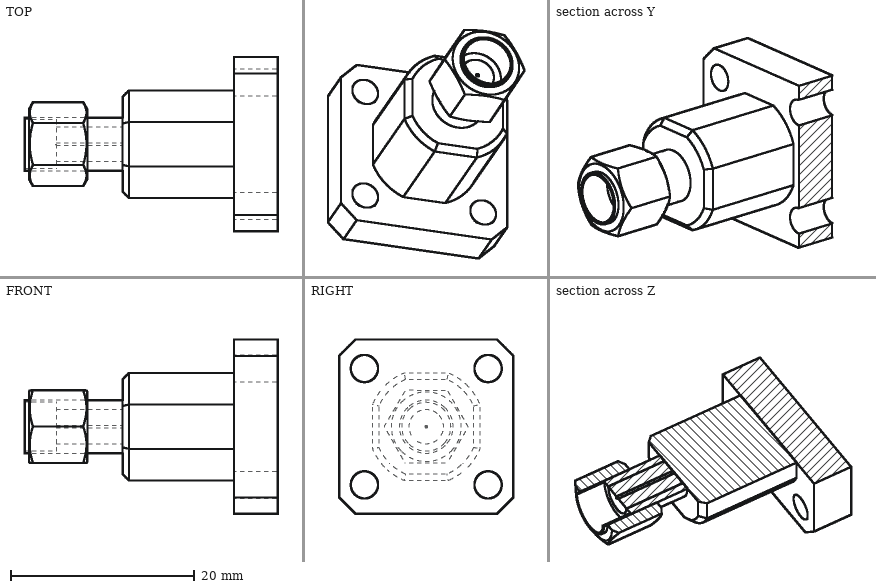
import cadquery as cq
import math


total_length = 27.66
flange_thickness = 4.8
flange_width = 19.05
flange_corner_chamfer = 1.8
screw_hole_diameter = 2.95
screw_hole_spacing_y = 13.5
screw_hole_spacing_z = 12.7
flange_start = total_length - flange_thickness

barrel_start = 10.7
barrel_diameter = 12.7
barrel_across_flats = 11.75
barrel_chamfer = 0.7
barrel_length = flange_start - barrel_start

tube_outer_diameter = 5.83
tube_bore_diameter = 5.35
tube_bore_depth = 3.5

nut_start = 0.47
nut_length = 6.38
nut_across_flats = 7.94
nut_sides = 6
nut_across_corners = nut_across_flats / math.cos(math.pi / nut_sides)
nut_turn_angle = -0.4
nut_face_diameter = 7.62
nut_bevel_angle = 30
nut_bevel_length = (nut_across_corners - nut_face_diameter) / 2 * math.tan(math.radians(nut_bevel_angle))

bead_diameter = 3.75
pin_diameter = 0.3
pin_tip_chamfer = 0.1
bead_length = barrel_start - tube_bore_depth


def section_at(x):
    """Workplane across the X axis, with local x along Y and local y along Z."""
    return cq.Workplane("YZ", origin=(x, 0, 0))


def rod(x, diameter, length):
    """Round rod on the X axis, starting at x."""
    return section_at(x).circle(diameter / 2).extrude(length)


def make_flange():
    """Square plate with chamfered corners and four screw holes."""
    plate = (
        section_at(flange_start)
        .rect(flange_width, flange_width)
        .extrude(flange_thickness)
        .edges("|X")
        .chamfer(flange_corner_chamfer)
    )
    holes = (
        section_at(flange_start)
        .rect(screw_hole_spacing_y, screw_hole_spacing_z, forConstruction=True)
        .vertices()
        .circle(screw_hole_diameter / 2)
        .extrude(flange_thickness)
    )
    return plate.cut(holes)


def make_barrel():
    """Cylinder cut by four flats, with its front edge chamfered."""
    block = section_at(barrel_start).rect(barrel_across_flats, barrel_across_flats).extrude(barrel_length)
    chamfered_block = block.faces("<X").chamfer(barrel_chamfer)
    cylinder = rod(barrel_start, barrel_diameter, barrel_length)
    chamfered_cylinder = cylinder.faces("<X").chamfer(barrel_chamfer)
    return chamfered_cylinder.intersect(chamfered_block)


def make_tube():
    """Tube with an open bore at its mouth and a smaller hole for the bead behind it."""
    tube = rod(0, tube_outer_diameter, barrel_start)
    bore = rod(0, tube_bore_diameter, tube_bore_depth)
    return tube.cut(bore).cut(rod(tube_bore_depth, bead_diameter, bead_length))


def make_nut():
    """Hexagon with two corners almost on +Y and -Y, bevelled at both ends and bored for the tube."""
    nut_end = nut_start + nut_length
    hexagon = section_at(nut_start).polygon(nut_sides, nut_across_corners).extrude(nut_length)
    turned_hexagon = hexagon.rotate((0, 0, 0), (1, 0, 0), nut_turn_angle)
    bevel_envelope = (
        cq.Workplane("XY")
        .moveTo(nut_start, 0)
        .lineTo(nut_start, nut_face_diameter / 2)
        .lineTo(nut_start + nut_bevel_length, nut_across_corners / 2)
        .lineTo(nut_end - nut_bevel_length, nut_across_corners / 2)
        .lineTo(nut_end, nut_face_diameter / 2)
        .lineTo(nut_end, 0)
        .close()
        .revolve(360, (0, 0, 0), (1, 0, 0))
    )
    return turned_hexagon.intersect(bevel_envelope).cut(rod(nut_start, tube_outer_diameter, nut_length))


def make_bead():
    """Insulating bead with a hole for the centre pin."""
    pin_hole = rod(tube_bore_depth, pin_diameter, bead_length)
    return rod(tube_bore_depth, bead_diameter, bead_length).cut(pin_hole)


def make_pin():
    """Centre pin through the bead, with its bevelled tip standing out of the bead."""
    pin = rod(tube_bore_depth - pin_tip_chamfer, pin_diameter, bead_length + pin_tip_chamfer)
    return pin.faces("<X").chamfer(pin_tip_chamfer)


flange = make_flange()
barrel = make_barrel()
tube = make_tube()
nut = make_nut()
bead = make_bead()
pin = make_pin()

result = cq.Compound.makeCompound(
    [flange.val(), barrel.val(), tube.val(), nut.val(), bead.val(), pin.val()]
)